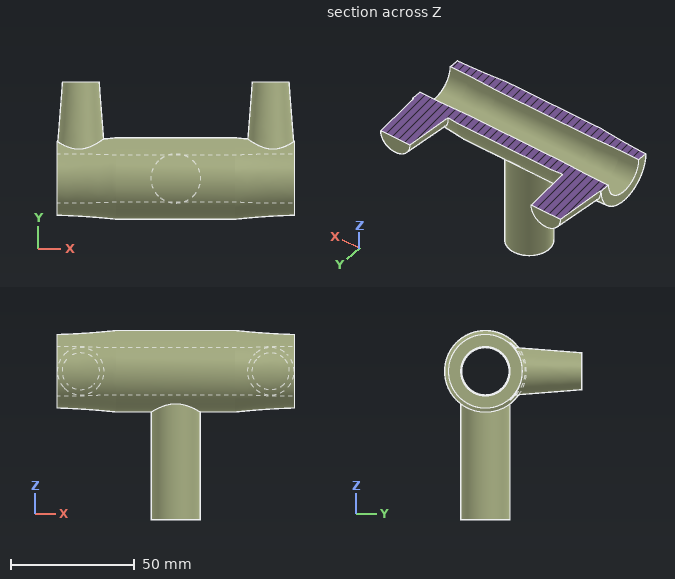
import cadquery as cq

tube_length = 96.0
tube_radius = 16.5
tube_end_radius = 14.9
flare_length = 24.0
flare_middle_radius = 15.5

socket_radius = 20.0 / 2
socket_depth = 9.6
bore_radius = 19.0 / 2

leg_radius = 20.0 / 2
leg_bottom = -60.0

horn_root_radius = 9.7
horn_tip_radius = 7.5
horn_root_y = 11.0
horn_tip_y = 39.0

half_length = tube_length / 2
straight_half = half_length - flare_length
socket_floor_x = half_length - socket_depth
horn_x = half_length - horn_root_radius


def make_tube_body():
    """Revolve the outer shape: a cylinder with a slightly concave taper at each end."""
    flare_middle_x = half_length - flare_length / 2
    return (
        cq.Workplane("XY")
        .moveTo(-half_length, 0)
        .lineTo(-half_length, tube_end_radius)
        .threePointArc((-flare_middle_x, flare_middle_radius), (-straight_half, tube_radius))
        .lineTo(straight_half, tube_radius)
        .threePointArc((flare_middle_x, flare_middle_radius), (half_length, tube_end_radius))
        .lineTo(half_length, 0)
        .close()
        .revolve(360, (0, 0, 0), (1, 0, 0))
    )


def make_bore():
    """Revolve the bore: end sockets that taper into a narrower middle."""
    return (
        cq.Workplane("XY")
        .moveTo(-half_length, 0)
        .lineTo(-half_length, socket_radius)
        .lineTo(-socket_floor_x, socket_radius)
        .lineTo(-straight_half, bore_radius)
        .lineTo(straight_half, bore_radius)
        .lineTo(socket_floor_x, socket_radius)
        .lineTo(half_length, socket_radius)
        .lineTo(half_length, 0)
        .close()
        .revolve(360, (0, 0, 0), (1, 0, 0))
    )


def make_leg():
    """Vertical cylinder from the tube axis down to the foot."""
    return cq.Workplane("XY").circle(leg_radius).extrude(leg_bottom)


def make_horn(x):
    """Cone along +Y, starting inside the tube wall."""
    horn_length = horn_tip_y - horn_root_y
    root = cq.Vector(x, horn_root_y, 0)
    cone = cq.Solid.makeCone(horn_root_radius, horn_tip_radius, horn_length, root, cq.Vector(0, 1, 0))
    return cq.Workplane("XY").add(cone)


body = make_tube_body().union(make_leg())
for x in (-horn_x, horn_x):
    body = body.union(make_horn(x))

result = body.cut(make_bore())